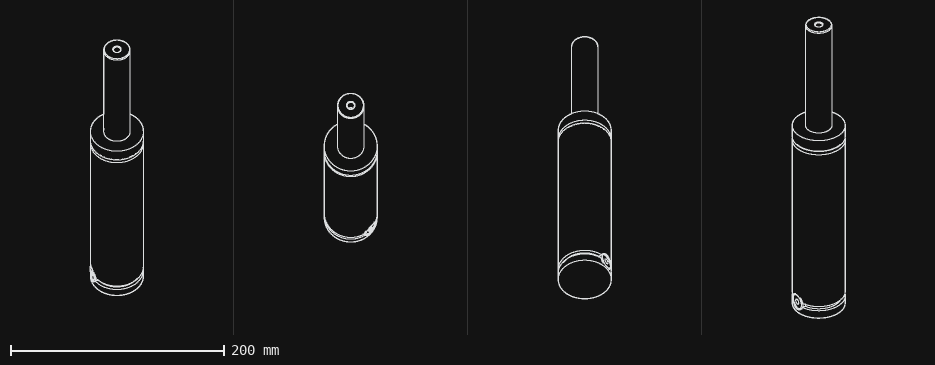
import cadquery as cq

total_height = 320.0
body_diameter = 50.0
body_height = 204.0
rod_diameter = 25.0
rod_chamfer_height = 1.3
rod_chamfer_width = 0.5

rod_hole_diameter = 6.7
rod_hole_depth = 16.0
rod_hole_chamfer = 0.5
countersink_angle = 90
rod_hole_point_depth = 2.0

round_groove_radius = 2.0
round_groove_center_z = body_height - 14.5

square_groove_bottom_z = 8.5
square_groove_height = 4.8
square_groove_depth = 3.2

valve_diameter = 16.0
valve_face_diameter = 14.0
valve_edge_chamfer = (valve_diameter - valve_face_diameter) / 2
valve_face_y = -24.3
valve_length = 8.0
valve_dimple_diameter = 5.0
valve_dimple_depth = 1.0
valve_center_z = square_groove_bottom_z + square_groove_height / 2

body_radius = body_diameter / 2


def make_body():
    """Plain cylinder with a round groove and a square groove."""
    body = cq.Workplane("XY").circle(body_radius).extrude(body_height)
    round_groove = cq.Workplane("XY").add(
        cq.Solid.makeTorus(body_radius, round_groove_radius, cq.Vector(0, 0, round_groove_center_z))
    )
    square_groove = (
        cq.Workplane("XY", origin=(0, 0, square_groove_bottom_z))
        .circle(body_radius)
        .circle(body_radius - square_groove_depth)
        .extrude(square_groove_height)
    )
    return body.cut(round_groove).cut(square_groove)


def make_rod():
    """Piston rod with a chamfered end and a countersunk axial hole with a drill point."""
    rod = (
        cq.Workplane("XY", origin=(0, 0, body_height))
        .circle(rod_diameter / 2)
        .extrude(total_height - body_height)
        .faces(">Z")
        .chamfer(rod_chamfer_height, rod_chamfer_width)
    )
    rod = rod.faces(">Z").workplane().cskHole(
        rod_hole_diameter, rod_hole_diameter + 2 * rod_hole_chamfer, countersink_angle, rod_hole_depth
    )
    drill_point = cq.Workplane("XY").add(
        cq.Solid.makeCone(
            rod_hole_diameter / 2,
            0,
            rod_hole_point_depth,
            pnt=cq.Vector(0, 0, total_height - rod_hole_depth),
            dir=cq.Vector(0, 0, -1),
        )
    )
    return rod.cut(drill_point)


def valve_cylinder(diameter, outer_y, length):
    """Cylinder on the valve axis, running inward (+Y) from outer_y."""
    return (
        cq.Workplane("XZ", origin=(0, outer_y, valve_center_z))
        .circle(diameter / 2)
        .extrude(-length)
    )


def add_valve(part):
    """Set a bevelled flat plug with a conical dimple into the side of the body."""
    seat = valve_cylinder(valve_diameter, -body_radius, valve_length)
    plug = (
        valve_cylinder(valve_diameter, valve_face_y, valve_length)
        .faces("<Y")
        .chamfer(valve_edge_chamfer)
    )
    dimple = cq.Workplane("XY").add(
        cq.Solid.makeCone(
            valve_dimple_diameter / 2,
            0,
            valve_dimple_depth,
            pnt=cq.Vector(0, valve_face_y, valve_center_z),
            dir=cq.Vector(0, 1, 0),
        )
    )
    return part.cut(seat).union(plug).cut(dimple)


result = add_valve(make_body().union(make_rod()))